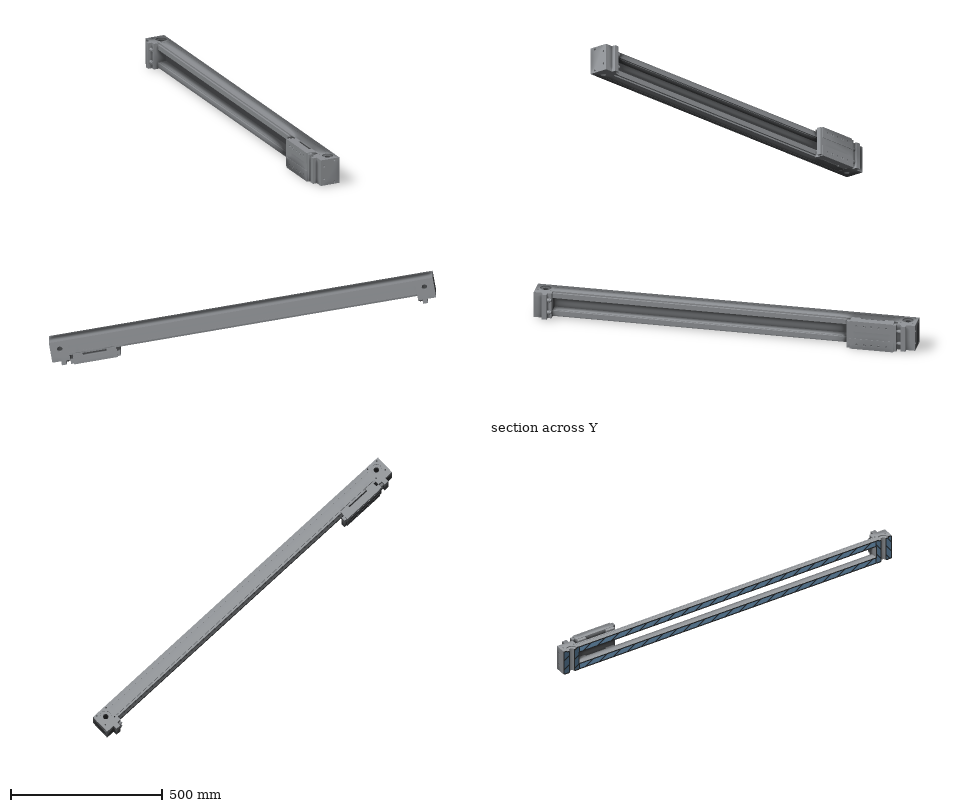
import cadquery as cq


LENGTH = 1290.0
WIDTH = 90.0
HALF_WIDTH = WIDTH / 2
SIDES = (1, -1)

HEAD_LENGTH = 60.0
HEAD_DEPTH = 68.0
LUG_START = 30.0
LUG_END = 46.0
LUG_DEPTH = 83.0

SHAFT_X = 32.0
SHAFT_DEPTH = 27.0
SHAFT_BORE = 18.0
SEAT_DIAMETER = 37.0
SEAT_SINK = 4.0
SEAT_SCREW_OFFSET = 20.0
SEAT_SCREW_DIAMETER = 4.9
SCREW_HOLE_LENGTH = 13.0

END_HOLES = ((18.0, 37.0), (57.0, 22.0))
END_HOLE_DIAMETER = 6.7

BUFFER_DEPTH = 72.0
BUFFER_HEIGHT = 22.0
BUFFER_DIAMETER = 13.0
BUFFER_END = 55.0
BUFFER_TIP_DIAMETER = 10.0

BEAM_LENGTH = LENGTH - 2 * HEAD_LENGTH
BEAM_DEPTH = 48.0
CHANNEL_FLOOR_DEPTH = 23.0
CHANNEL_HALF_WIDTH = 22.0
SIDE_GROOVE_START = 14.0
SIDE_GROOVE_END = 43.0
SIDE_GROOVE_SINK = 0.6
RAIL_DEPTH = 54.0
RAIL_INNER = 23.0
RAIL_OUTER = 40.0

CARRIAGE_LENGTH = 168.0
CARRIAGE_END = LENGTH - HEAD_LENGTH
CARRIAGE_MIDDLE = CARRIAGE_END - CARRIAGE_LENGTH / 2
CAP_LENGTH = 10.0
CAP_HALF_WIDTH = 48.0
CAP_DEPTH = 83.0
PLATE_LENGTH = CARRIAGE_LENGTH - 2 * CAP_LENGTH
PLATE_HALF_WIDTH = 50.0
PLATE_REAR = 60.0
PLATE_DEPTH = 85.0
RECESS_HALF_WIDTH = 13.0
RECESS_SINK = 1.0

SHOE_LENGTH = 32.0
SHOE_INSET = 1.0
SHOE_REAR = 50.0
SHOE_OUTER = 49.0
SHOE_SPREAD = PLATE_LENGTH / 2 - SHOE_INSET - SHOE_LENGTH / 2

HOLES_PER_ROW = 5
HOLE_ROW_SPAN = 100.0
HOLE_PITCH = HOLE_ROW_SPAN / (HOLES_PER_ROW - 1)
HOLE_ROW_HEIGHT = 34.0
HOLE_DIAMETER = 6.7
HOLE_LENGTH = 13.0
SLEEVE_DIAMETER = 10.0
SLEEVE_DEPTH = 86.0


def block(x_range, depth_range, z_range):
    """Box between two X values, two depths and two Z values."""
    (x0, x1), (rear, front), (z0, z1) = x_range, depth_range, z_range
    return cq.Workplane("XY").box(x1 - x0, front - rear, z1 - z0, centered=False).translate((x0, -front, z0))


def both_sides(solid):
    """A solid together with its mirror image about Z = 0."""
    return solid.union(solid.mirror("XY"))


def rod_z(x, depth, diameter, z_range):
    """Cylinder parallel to Z."""
    z0, z1 = z_range
    return cq.Workplane("XY", origin=(x, -depth, z0)).circle(diameter / 2).extrude(z1 - z0)


def rod_x(depth, z, diameter, x_range):
    """Cylinder parallel to X."""
    x0, x1 = x_range
    return cq.Workplane("YZ", origin=(x0, -depth, z)).circle(diameter / 2).extrude(x1 - x0)


def rod_y(x, z, diameter, depth_range):
    """Cylinder parallel to Y."""
    rear, front = depth_range
    return cq.Workplane("XZ", origin=(x, -rear, z)).circle(diameter / 2).extrude(front - rear)


def cut_shaft_seat(head):
    """Through bore with a sunk round seat and four screw holes in the top face."""
    head = head.cut(rod_z(SHAFT_X, SHAFT_DEPTH, SHAFT_BORE, (-HALF_WIDTH, HALF_WIDTH)))
    head = head.cut(rod_z(SHAFT_X, SHAFT_DEPTH, SEAT_DIAMETER, (HALF_WIDTH - SEAT_SINK, HALF_WIDTH)))
    for along in SIDES:
        for across in SIDES:
            x = SHAFT_X + along * SEAT_SCREW_OFFSET
            depth = SHAFT_DEPTH + across * SEAT_SCREW_OFFSET
            hole_range = (HALF_WIDTH - SCREW_HOLE_LENGTH, HALF_WIDTH)
            head = head.cut(rod_z(x, depth, SEAT_SCREW_DIAMETER, hole_range))
    return head


def cut_end_holes(head):
    """Four screw holes in the outer end face."""
    for depth, height in END_HOLES:
        for side in SIDES:
            head = head.cut(rod_x(depth, side * height, END_HOLE_DIAMETER, (0, SCREW_HOLE_LENGTH)))
    return head


def add_buffers(head):
    """Two stepped buffers that reach from the lug to the inner end of the head."""
    for side in SIDES:
        z = side * BUFFER_HEIGHT
        head = head.union(rod_x(BUFFER_DEPTH, z, BUFFER_DIAMETER, (LUG_END, BUFFER_END)))
        head = head.union(rod_x(BUFFER_DEPTH, z, BUFFER_TIP_DIAMETER, (BUFFER_END, HEAD_LENGTH)))
    return head


def make_head():
    """Head at the -X end."""
    full_width = (-HALF_WIDTH, HALF_WIDTH)
    head = block((0, HEAD_LENGTH), (0, HEAD_DEPTH), full_width)
    head = head.union(block((LUG_START, LUG_END), (HEAD_DEPTH, LUG_DEPTH), full_width))
    return add_buffers(cut_end_holes(cut_shaft_seat(head)))


def make_beam():
    """Channel section with a shallow groove in each side and a rail on each front edge."""
    span = (HEAD_LENGTH, HEAD_LENGTH + BEAM_LENGTH)
    beam = block(span, (0, BEAM_DEPTH), (-HALF_WIDTH, HALF_WIDTH))
    beam = beam.cut(block(span, (CHANNEL_FLOOR_DEPTH, BEAM_DEPTH), (-CHANNEL_HALF_WIDTH, CHANNEL_HALF_WIDTH)))
    groove_heights = (HALF_WIDTH - SIDE_GROOVE_SINK, HALF_WIDTH)
    beam = beam.cut(both_sides(block(span, (SIDE_GROOVE_START, SIDE_GROOVE_END), groove_heights)))
    return beam.union(both_sides(block(span, (BEAM_DEPTH, RAIL_DEPTH), (RAIL_INNER, RAIL_OUTER))))


def make_shoes():
    """Four shoes that bear on the front and the outer side of the rails."""
    shoes = cq.Workplane("XY")
    for end in SIDES:
        middle = CARRIAGE_MIDDLE + end * SHOE_SPREAD
        span = (middle - SHOE_LENGTH / 2, middle + SHOE_LENGTH / 2)
        pad = block(span, (RAIL_DEPTH, PLATE_REAR), (RAIL_INNER, SHOE_OUTER))
        hook = block(span, (SHOE_REAR, RAIL_DEPTH), (RAIL_OUTER, SHOE_OUTER))
        shoes = shoes.union(both_sides(pad.union(hook)))
    return shoes


def add_mounting_holes(carriage):
    """Two rows of holes, with a sleeve standing proud around every second one."""
    for index in range(HOLES_PER_ROW):
        x = CARRIAGE_MIDDLE - HOLE_ROW_SPAN / 2 + index * HOLE_PITCH
        for side in SIDES:
            z = side * HOLE_ROW_HEIGHT
            if index % 2 == 1:
                carriage = carriage.union(rod_y(x, z, SLEEVE_DIAMETER, (PLATE_DEPTH, SLEEVE_DEPTH)))
            carriage = carriage.cut(rod_y(x, z, HOLE_DIAMETER, (PLATE_DEPTH - HOLE_LENGTH, SLEEVE_DEPTH)))
    return carriage


def make_carriage():
    """Plate with a shallow middle recess, an end cap at each end, shoes and mounting holes."""
    plate_span = (CARRIAGE_MIDDLE - PLATE_LENGTH / 2, CARRIAGE_MIDDLE + PLATE_LENGTH / 2)
    cap_span = (CARRIAGE_END - CARRIAGE_LENGTH, CARRIAGE_END)
    plate = block(plate_span, (PLATE_REAR, PLATE_DEPTH), (-PLATE_HALF_WIDTH, PLATE_HALF_WIDTH))
    recess_depths = (PLATE_DEPTH - RECESS_SINK, PLATE_DEPTH)
    plate = plate.cut(block(plate_span, recess_depths, (-RECESS_HALF_WIDTH, RECESS_HALF_WIDTH)))
    caps = block(cap_span, (HEAD_DEPTH, CAP_DEPTH), (-CAP_HALF_WIDTH, CAP_HALF_WIDTH))
    return add_mounting_holes(plate.union(caps)).union(make_shoes())


guide = make_beam().union(make_carriage())

first_head = make_head()
heads = [first_head, first_head.mirror("YZ").translate((LENGTH, 0, 0))]

result = cq.Compound.makeCompound([guide.solids().val(), *[head.solids().val() for head in heads]])